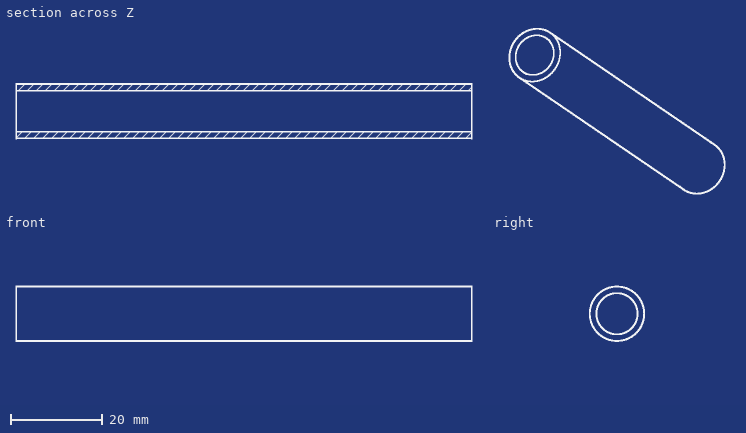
import cadquery as cq

length = 100.0
outer_diameter = 12.0
wall = 1.5
inner_diameter = outer_diameter - 2 * wall

result = (
    cq.Workplane("YZ", origin=(-length / 2, 0, 0))
    .circle(outer_diameter / 2)
    .circle(inner_diameter / 2)
    .extrude(length)
)